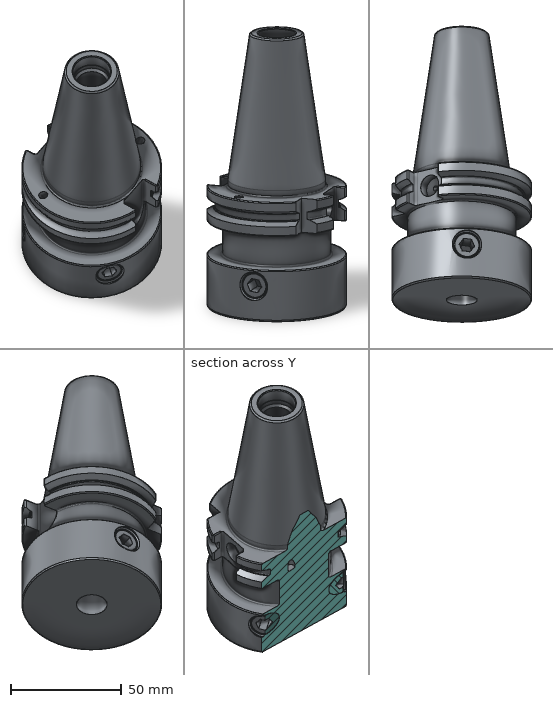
import cadquery as cq
import math

TOTAL_HEIGHT = 127.25

GAUGE_DIAMETER = 44.45
TAPER_LENGTH = 68.25
TAPER_RATIO = 7 / 24
SHANK_TIP_CHAMFER = 0.7

BODY_DIAMETER = 63.5
FLANGE_TOP_BELOW_GAUGE = 3.2
FLANGE_BOTTOM_BELOW_GAUGE = 19.1
GROOVE_BELOW_GAUGE = 11.1
GROOVE_FLOOR_DIAMETER = 56.1
GROOVE_FLOOR_WIDTH = 3.7
GROOVE_MOUTH_WIDTH = 7
GROOVE_FLANK_ANGLE = 30
GROOVE_ROOT_FILLET = 0.4
RIM_CHAMFER = 0.5

NECK_DIAMETER = 49.2
HEAD_HEIGHT = 24
HEAD_TOP_CHAMFER = 0.5
HEAD_BOTTOM_CHAMFER_HEIGHT = 0.8
HEAD_BOTTOM_CHAMFER_DEPTH = 0.4
CORNER_FILLET = 0.8

BORE_DIAMETER = 13.8
SOCKET_MOUTH_DIAMETER = 17.8
SOCKET_DIAMETER = 17
SOCKET_DEPTH = 6.2
THREAD_DIAMETER = 16.5
THREAD_END_DEPTH = 8.4
DRILL_POINT_ANGLE = 118

SLOT_WIDTH = 16.1
SLOT_FLOOR_LEFT = 25
SLOT_FLOOR_RIGHT = 22.8
SLOT_FLOOR_FILLET = 1
SLOT_MOUTH_CHAMFER = 0.8
SLOT_TOP_CHAMFER = 0.5

NOTCH_CORNER = 18.4

CHIP_DIAMETER = 10
CHIP_DEPTH = 4.6
CHIP_CENTRE_MARK_DIAMETER = 2.4

COOLANT_DIAMETER = 3.8
COOLANT_CIRCLE_RADIUS = 27
COOLANT_FIRST_ANGLE = 70
COOLANT_TILT = 25
COOLANT_DEPTH = 15

SCREW_ANGLES = (90, 220, 320)
SCREW_Z = 16.2
SCREW_DIAMETER = 12
SCREW_LENGTH = 16
SCREW_FACE_RADIUS = 30.2
SCREW_EDGE_CHAMFER = 0.5
HEX_ACROSS_FLATS = 6
HEX_DEPTH = 10
HEX_TURN = -7
SCREW_COUNTERSINK_DIAMETER = 13.3

GAUGE_Z = TOTAL_HEIGHT - TAPER_LENGTH
FLANGE_TOP = GAUGE_Z - FLANGE_TOP_BELOW_GAUGE
FLANGE_BOTTOM = GAUGE_Z - FLANGE_BOTTOM_BELOW_GAUGE
FLANGE_HEIGHT = FLANGE_TOP - FLANGE_BOTTOM
GROOVE_Z = GAUGE_Z - GROOVE_BELOW_GAUGE
BODY_RADIUS = BODY_DIAMETER / 2
GAUGE_RADIUS = GAUGE_DIAMETER / 2
NECK_RADIUS = NECK_DIAMETER / 2


def revolve_profile(profile):
    """Turn a closed (radius, z) wire about the Z axis."""
    return profile.close().revolve(360, (0, 0, 0), (0, 1, 0))


def turned_body():
    tip_radius = GAUGE_RADIUS - TAPER_LENGTH * TAPER_RATIO / 2
    rim_radius = BODY_RADIUS - RIM_CHAMFER
    fillet = CORNER_FILLET
    profile = (
        cq.Workplane("XZ")
        .moveTo(0, 0)
        .lineTo(BODY_RADIUS - HEAD_BOTTOM_CHAMFER_DEPTH, 0)
        .lineTo(BODY_RADIUS, HEAD_BOTTOM_CHAMFER_HEIGHT)
        .lineTo(BODY_RADIUS, HEAD_HEIGHT - HEAD_TOP_CHAMFER)
        .lineTo(BODY_RADIUS - HEAD_TOP_CHAMFER, HEAD_HEIGHT)
        .lineTo(NECK_RADIUS + fillet, HEAD_HEIGHT)
        .radiusArc((NECK_RADIUS, HEAD_HEIGHT + fillet), fillet)
        .lineTo(NECK_RADIUS, FLANGE_BOTTOM - fillet)
        .radiusArc((NECK_RADIUS + fillet, FLANGE_BOTTOM), fillet)
        .lineTo(rim_radius, FLANGE_BOTTOM)
        .lineTo(BODY_RADIUS, FLANGE_BOTTOM + RIM_CHAMFER)
        .lineTo(BODY_RADIUS, FLANGE_TOP - RIM_CHAMFER)
        .lineTo(rim_radius, FLANGE_TOP)
        .lineTo(GAUGE_RADIUS + fillet, FLANGE_TOP)
        .radiusArc((GAUGE_RADIUS, FLANGE_TOP + fillet), fillet)
        .lineTo(GAUGE_RADIUS, GAUGE_Z)
        .lineTo(tip_radius, TOTAL_HEIGHT)
        .lineTo(0, TOTAL_HEIGHT)
    )
    return revolve_profile(profile).faces(">Z").edges().chamfer(SHANK_TIP_CHAMFER)


def gripper_groove():
    """V-shaped ring that ends in a square-sided channel with rounded roots."""
    floor_radius = GROOVE_FLOOR_DIAMETER / 2
    floor_half = GROOVE_FLOOR_WIDTH / 2
    mouth_half = GROOVE_MOUTH_WIDTH / 2
    flank_depth = (mouth_half - floor_half) / math.tan(math.radians(GROOVE_FLANK_ANGLE))
    channel_radius = BODY_RADIUS - flank_depth
    profile = (
        cq.Workplane("XZ")
        .moveTo(BODY_RADIUS, GROOVE_Z - mouth_half)
        .lineTo(channel_radius, GROOVE_Z - floor_half)
        .lineTo(floor_radius, GROOVE_Z - floor_half)
        .lineTo(floor_radius, GROOVE_Z + floor_half)
        .lineTo(channel_radius, GROOVE_Z + floor_half)
        .lineTo(BODY_RADIUS, GROOVE_Z + mouth_half)
    )
    root_edges = cq.selectors.RadiusNthSelector(0)
    return revolve_profile(profile).edges(root_edges).fillet(GROOVE_ROOT_FILLET)


def axial_bore():
    """Through bore with the stepped pull-stud socket at the shank tip."""
    bore_radius = BORE_DIAMETER / 2
    thread_radius = THREAD_DIAMETER / 2
    socket_radius = SOCKET_DIAMETER / 2
    mouth_radius = SOCKET_MOUTH_DIAMETER / 2
    thread_end_z = TOTAL_HEIGHT - THREAD_END_DEPTH
    socket_end_z = TOTAL_HEIGHT - SOCKET_DEPTH
    cone_height = (thread_radius - bore_radius) / math.tan(math.radians(DRILL_POINT_ANGLE / 2))
    profile = (
        cq.Workplane("XZ")
        .moveTo(0, 0)
        .lineTo(bore_radius, 0)
        .lineTo(bore_radius, thread_end_z - cone_height)
        .lineTo(thread_radius, thread_end_z)
        .lineTo(thread_radius, socket_end_z)
        .lineTo(socket_radius, socket_end_z)
        .lineTo(socket_radius, TOTAL_HEIGHT - (mouth_radius - socket_radius))
        .lineTo(mouth_radius, TOTAL_HEIGHT)
        .lineTo(0, TOTAL_HEIGHT)
    )
    return revolve_profile(profile)


def drive_slot(floor_distance):
    """Cutter for a slot on the +X side: an end-milled channel whose lower end is round."""
    half_width = SLOT_WIDTH / 2
    length = BODY_RADIUS + SLOT_MOUTH_CHAMFER - floor_distance
    channel = (
        cq.Workplane("YZ", origin=(floor_distance, 0, 0))
        .moveTo(-half_width, FLANGE_TOP + SLOT_FLOOR_FILLET)
        .lineTo(-half_width, FLANGE_BOTTOM)
        .threePointArc((0, FLANGE_BOTTOM - half_width), (half_width, FLANGE_BOTTOM))
        .lineTo(half_width, FLANGE_TOP + SLOT_FLOOR_FILLET)
        .close()
        .extrude(length)
        .faces("<X").edges("not >Z").fillet(SLOT_FLOOR_FILLET)
    )

    wide_half = half_width + SLOT_MOUTH_CHAMFER
    wide_x = math.sqrt(BODY_RADIUS**2 - wide_half**2)
    mouth_flare = (
        cq.Workplane("XY", origin=(0, 0, FLANGE_BOTTOM))
        .moveTo(wide_x - SLOT_MOUTH_CHAMFER, -half_width)
        .lineTo(wide_x, -wide_half)
        .lineTo(BODY_RADIUS, -wide_half)
        .lineTo(BODY_RADIUS, wide_half)
        .lineTo(wide_x, wide_half)
        .lineTo(wide_x - SLOT_MOUTH_CHAMFER, half_width)
        .close()
        .extrude(FLANGE_HEIGHT)
    )

    top_half = half_width + SLOT_TOP_CHAMFER
    flare_start = floor_distance + SLOT_FLOOR_FILLET
    top_flare = (
        cq.Workplane("YZ", origin=(flare_start, 0, 0))
        .moveTo(-half_width, FLANGE_TOP - SLOT_TOP_CHAMFER)
        .lineTo(half_width, FLANGE_TOP - SLOT_TOP_CHAMFER)
        .lineTo(top_half, FLANGE_TOP)
        .lineTo(-top_half, FLANGE_TOP)
        .close()
        .extrude(BODY_RADIUS - flare_start)
    )
    return channel.union(mouth_flare).union(top_flare)


def orientation_notch():
    size = BODY_RADIUS - NOTCH_CORNER
    return (
        cq.Workplane("XY", origin=(-NOTCH_CORNER, NOTCH_CORNER, FLANGE_BOTTOM))
        .rect(-size, size, centered=False)
        .extrude(FLANGE_HEIGHT)
    )


def chip_pocket():
    """Round flat-bottomed pocket with a conical centre mark, opening toward -X."""
    mark_radius = CHIP_CENTRE_MARK_DIAMETER / 2
    mark_depth = mark_radius / math.tan(math.radians(DRILL_POINT_ANGLE / 2))
    bottom_x = CHIP_DEPTH - SLOT_FLOOR_LEFT
    axis = cq.Vector(1, 0, 0)
    pocket = cq.Solid.makeCylinder(
        CHIP_DIAMETER / 2, CHIP_DEPTH, cq.Vector(-SLOT_FLOOR_LEFT, 0, GROOVE_Z), axis
    )
    mark = cq.Solid.makeCone(mark_radius, 0, mark_depth, cq.Vector(bottom_x, 0, GROOVE_Z), axis)
    return cq.Workplane(pocket).union(cq.Workplane(mark))


def coolant_hole(angle):
    """Blind hole from the flange top, leaning down toward the centre line."""
    tilt = math.radians(COOLANT_TILT)
    axis = cq.Vector(-math.sin(tilt), 0, -math.cos(tilt))
    mouth = cq.Vector(COOLANT_CIRCLE_RADIUS, 0, FLANGE_TOP)
    start = mouth - axis * COOLANT_DIAMETER
    hole = cq.Solid.makeCylinder(COOLANT_DIAMETER / 2, COOLANT_DIAMETER + COOLANT_DEPTH, start, axis)
    return cq.Workplane(hole).rotate((0, 0, 0), (0, 0, 1), angle)


def place_radially(shape, angle):
    """Swing a shape built about the +X direction to its place around the head."""
    return shape.translate((0, 0, SCREW_Z)).rotate((0, 0, 0), (0, 0, 1), angle)


def screw_hole(angle):
    """Blind radial hole with a countersunk mouth."""
    hole_radius = SCREW_DIAMETER / 2
    sink_radius = SCREW_COUNTERSINK_DIAMETER / 2
    sink_x = math.sqrt(BODY_RADIUS**2 - sink_radius**2)
    profile = (
        cq.Workplane("XY")
        .moveTo(SCREW_FACE_RADIUS - SCREW_LENGTH, 0)
        .lineTo(SCREW_FACE_RADIUS - SCREW_LENGTH, hole_radius)
        .lineTo(sink_x - (sink_radius - hole_radius), hole_radius)
        .lineTo(sink_x, sink_radius)
        .lineTo(BODY_RADIUS, sink_radius)
        .lineTo(BODY_RADIUS, 0)
        .close()
    )
    return place_radially(profile.revolve(360, (0, 0, 0), (1, 0, 0)), angle)


def build_holder():
    body = turned_body().cut(gripper_groove()).cut(axial_bore())
    body = body.cut(drive_slot(SLOT_FLOOR_RIGHT))
    body = body.cut(drive_slot(SLOT_FLOOR_LEFT).rotate((0, 0, 0), (0, 0, 1), 180))
    body = body.cut(orientation_notch())
    body = body.cut(chip_pocket())
    for angle in (COOLANT_FIRST_ANGLE, COOLANT_FIRST_ANGLE + 180):
        body = body.cut(coolant_hole(angle))
    for angle in SCREW_ANGLES:
        body = body.cut(screw_hole(angle))
    return body.solids()


def clamping_screw(angle):
    """Set screw with a hexagon socket turned slightly off the horizontal."""
    hex_across_corners = HEX_ACROSS_FLATS / math.cos(math.radians(30))
    screw = (
        cq.Workplane("YZ", origin=(SCREW_FACE_RADIUS - SCREW_LENGTH, 0, 0))
        .circle(SCREW_DIAMETER / 2)
        .extrude(SCREW_LENGTH)
        .faces(">X").edges().chamfer(SCREW_EDGE_CHAMFER)
        .faces(">X").workplane()
        .transformed(rotate=(0, 0, HEX_TURN))
        .polygon(6, hex_across_corners)
        .cutBlind(-HEX_DEPTH)
    )
    return place_radially(screw.solids(), angle)


holder = build_holder()
screws = [clamping_screw(angle) for angle in SCREW_ANGLES]

result = cq.Compound.makeCompound([holder.val(), *[screw.val() for screw in screws]])